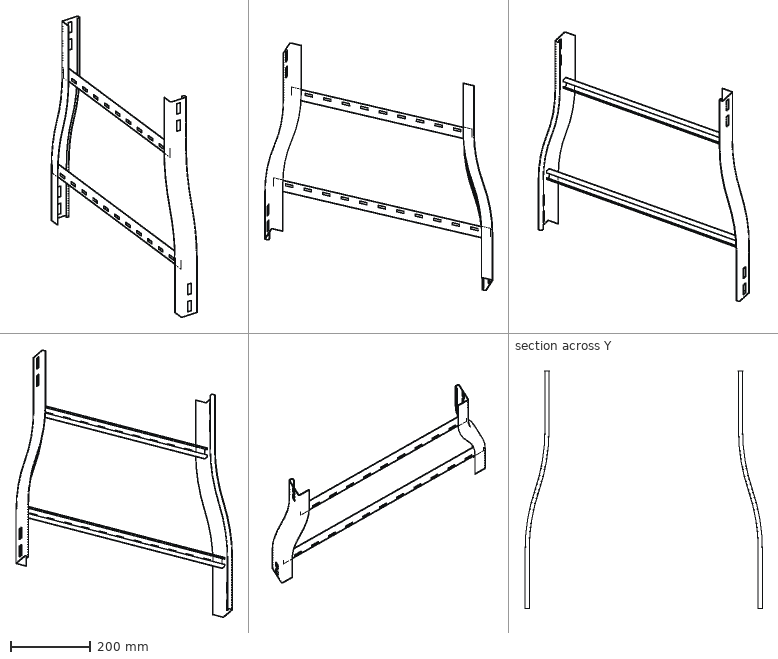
import cadquery as cq

frame_width = 600.0
frame_height = 600.0
frame_depth = 50.0

rail_sheet = 2.3
rail_bend_radius = 3.5
front_flange = 31.0
back_flange = 12.0
lip_length = 9.0
rail_offset = 50.0
curve_start = 150.0
curve_end = frame_height - curve_start

rail_slot_length = 30.0
rail_slot_width = 10.0
rail_slot_end_distances = (25.0, 75.0)

rung_height = 27.0
rung_depth = 15.0
rung_sheet = 1.5
rung_bend_radius = 2.1
rung_back_opening = 15.0
rung_end_gap = 6.0
lower_rung_z = curve_start
upper_rung_z = curve_end

rung_slot_length = 20.0
rung_slot_height = 6.5
lower_slot_count = 11
upper_slot_count = 9
lower_slot_row = 501.0
rung_slot_pitch = lower_slot_row / (lower_slot_count - 1)
lower_slot_shift = 0.0
upper_slot_shift = 3.0

outer_x = -frame_width / 2
front_y = -frame_depth / 2
back_y = frame_depth / 2


def rail_path():
    """Outer line of the left rail: straight, two opposite tangent arcs, straight."""
    upper_x = outer_x + rail_offset
    middle_x = outer_x + rail_offset / 2
    middle_z = (curve_start + curve_end) / 2
    return (
        cq.Workplane("XZ")
        .moveTo(outer_x, 0)
        .lineTo(outer_x, curve_start)
        .tangentArcPoint((middle_x, middle_z), relative=False)
        .tangentArcPoint((upper_x, curve_end), relative=False)
        .lineTo(upper_x, frame_height)
    )


def rail_profile():
    """Section of the left rail: long front flange, web, short back flange with a lip."""
    front_end_x = outer_x + front_flange
    lip_x = outer_x + back_flange
    lip_end_y = back_y - lip_length
    web_bend_x = outer_x + rail_bend_radius
    lip_bend_x = lip_x - rail_bend_radius
    front_bend_y = front_y + rail_bend_radius
    back_bend_y = back_y - rail_bend_radius
    web_inner_x = outer_x + rail_sheet
    lip_inner_x = lip_x - rail_sheet
    front_inner_y = front_y + rail_sheet
    back_inner_y = back_y - rail_sheet

    outside = (
        cq.Workplane("XY")
        .moveTo(front_end_x, front_y)
        .lineTo(web_bend_x, front_y)
        .tangentArcPoint((outer_x, front_bend_y), relative=False)
        .lineTo(outer_x, back_bend_y)
        .tangentArcPoint((web_bend_x, back_y), relative=False)
        .lineTo(lip_bend_x, back_y)
        .tangentArcPoint((lip_x, back_bend_y), relative=False)
        .lineTo(lip_x, lip_end_y)
    )
    return (
        outside.lineTo(lip_inner_x, lip_end_y)
        .lineTo(lip_inner_x, back_bend_y)
        .tangentArcPoint((lip_bend_x, back_inner_y), relative=False)
        .lineTo(web_bend_x, back_inner_y)
        .tangentArcPoint((web_inner_x, back_bend_y), relative=False)
        .lineTo(web_inner_x, front_bend_y)
        .tangentArcPoint((web_bend_x, front_inner_y), relative=False)
        .lineTo(front_end_x, front_inner_y)
        .close()
    )


def rail_slots():
    """Cutters for the web slots, long enough to pass the web at both ends of the left rail."""
    slot_centres = []
    for distance in rail_slot_end_distances:
        slot_centres.append((0, distance))
        slot_centres.append((0, frame_height - distance))
    return (
        cq.Workplane("YZ", origin=(outer_x, 0, 0))
        .pushPoints(slot_centres)
        .rect(rail_slot_width, rail_slot_length)
        .extrude(rail_offset + back_flange)
    )


def make_left_rail():
    return rail_profile().sweep(rail_path()).cut(rail_slots())


def make_rung(length, z, slot_count, slot_shift):
    """C-channel lying against the inner face of the front flanges, with a row of slots."""
    rung_front_y = front_y + rail_sheet
    rung_middle_y = rung_front_y + rung_depth / 2
    tube = (
        cq.Workplane("XY", origin=(0, rung_middle_y, z))
        .box(length, rung_depth, rung_height)
        .edges("|X")
        .fillet(rung_bend_radius)
        .faces("<X or >X")
        .shell(-rung_sheet)
    )
    back_opening = cq.Workplane("XY", origin=(0, rung_middle_y + rung_depth / 2, z)).box(
        length, rung_depth, rung_back_opening
    )
    slots = (
        cq.Workplane("XZ", origin=(slot_shift, rung_middle_y, z))
        .rarray(rung_slot_pitch, 6, slot_count, 1)
        .rect(rung_slot_length, rung_slot_height)
        .extrude(rung_depth)
    )
    return tube.cut(back_opening).cut(slots)


left_rail = make_left_rail()
right_rail = left_rail.mirror("YZ")

lower_rung_length = frame_width - 2 * rung_end_gap
upper_rung_length = lower_rung_length - 2 * rail_offset
rung_layout = [
    (lower_rung_length, lower_rung_z, lower_slot_count, lower_slot_shift),
    (upper_rung_length, upper_rung_z, upper_slot_count, upper_slot_shift),
]
rungs = [make_rung(*layout) for layout in rung_layout]

result = cq.Compound.makeCompound(
    [left_rail.val(), right_rail.val()] + [rung.val() for rung in rungs]
)